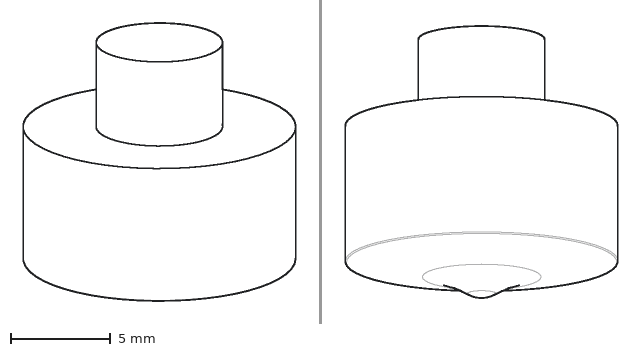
import cadquery as cq
import math

body_diameter = 13.7
stem_diameter = 6.35
total_height = 13.26
stem_height = 4.44
body_height = 7.0

rim_fillet = 0.07
cone_angle = math.radians(11)
flare_end_z = 1.07
tip_edge_radius = 0.73
tip_height = 0.2

body_radius = body_diameter / 2
stem_radius = stem_diameter / 2
body_top_z = total_height - stem_height
rim_z = body_top_z - body_height
flare_end_radius = body_radius - (rim_z - flare_end_z) / math.tan(cone_angle)

rim_setback = rim_fillet * math.tan((math.pi / 2 - cone_angle) / 2)
rim_arc_end = (
    body_radius - rim_setback * math.cos(cone_angle),
    rim_z - rim_setback * math.sin(cone_angle),
)

tip_arc_radius = (tip_edge_radius**2 + tip_height**2) / (2 * tip_height)
tip_mid_radius = tip_edge_radius / 2
tip_mid_z = tip_arc_radius - math.sqrt(tip_arc_radius**2 - tip_mid_radius**2)

profile = (
    cq.Workplane("XZ")
    .moveTo(0, total_height)
    .lineTo(stem_radius, total_height)
    .lineTo(stem_radius, body_top_z)
    .lineTo(body_radius, body_top_z)
    .lineTo(body_radius, rim_z + rim_setback)
    .tangentArcPoint(rim_arc_end, relative=False)
    .lineTo(flare_end_radius, flare_end_z)
    .tangentArcPoint((tip_edge_radius, tip_height), relative=False)
    .threePointArc((tip_mid_radius, tip_mid_z), (0, 0))
    .close()
)
result = profile.revolve(360, (0, 0, 0), (0, 1, 0))